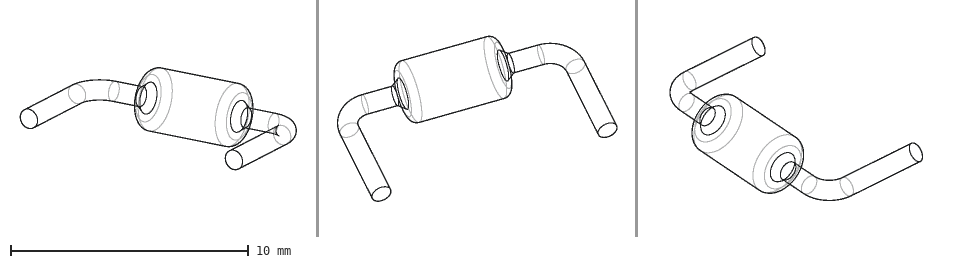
import cadquery as cq

overall_length = 11.02
body_diameter = 2.71
body_length = 4.5
body_edge_radius = 0.34
wire_diameter = 0.86
bend_radius = 1.12
lead_reach = 4.96
collar_length = 0.35
collar_base_diameter = 1.37

wire_radius = wire_diameter / 2
lead_offset = overall_length / 2 - wire_radius
bend_start = lead_offset - bend_radius
body_end = body_length / 2


def make_body():
    """Cylindrical body with rounded end rims."""
    blank = cq.Workplane("YZ", origin=(-body_end, 0, 0)).circle(body_diameter / 2).extrude(body_length)
    return blank.edges("%CIRCLE").fillet(body_edge_radius)


def make_collar():
    """Cone that tapers from the body's +X end face down to the wire."""
    return (
        cq.Workplane("YZ", origin=(body_end, 0, 0))
        .circle(collar_base_diameter / 2)
        .workplane(offset=collar_length)
        .circle(wire_radius)
        .loft(ruled=True)
    )


def make_wire():
    """One continuous round wire through the body, bent square at both sides."""
    path = (
        cq.Workplane("XY")
        .moveTo(-lead_offset, -lead_reach)
        .lineTo(-lead_offset, -bend_radius)
        .tangentArcPoint((-bend_start, 0), relative=False)
        .lineTo(bend_start, 0)
        .tangentArcPoint((lead_offset, -bend_radius), relative=False)
        .lineTo(lead_offset, -lead_reach)
    )
    profile = cq.Workplane("XZ", origin=(-lead_offset, -lead_reach, 0)).circle(wire_radius)
    return profile.sweep(path)


collar = make_collar()
result = make_body().union(collar).union(collar.mirror("YZ")).union(make_wire())